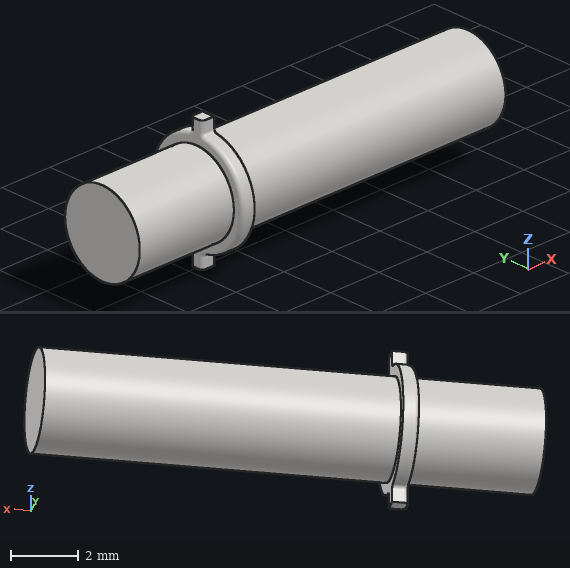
import cadquery as cq

body_length = 15.24
body_diameter = 3.2

collar_start = 3.92
collar_thickness = 0.5
collar_diameter = 3.95
tab_span = 4.95
tab_width = 0.5
tab_root_radius = 0.12
front_edge_radius = 0.15


def make_body():
    return cq.Workplane("YZ").circle(body_diameter / 2).extrude(body_length)


def make_collar():
    plane = cq.Workplane("YZ", origin=(collar_start, 0, 0))
    disc = plane.circle(collar_diameter / 2).extrude(collar_thickness)
    tabs = plane.rect(tab_width, tab_span).extrude(collar_thickness)
    collar = disc.union(tabs)

    root_box = cq.selectors.BoxSelector(
        (collar_start, -tab_width, -collar_diameter / 2),
        (collar_start + collar_thickness, tab_width, collar_diameter / 2),
    )
    collar = collar.edges("|X").edges(root_box).fillet(tab_root_radius)

    rim = collar.faces("<X").edges().edges("not(>Z or <Z)")
    return rim.fillet(front_edge_radius)


result = make_body().union(make_collar())